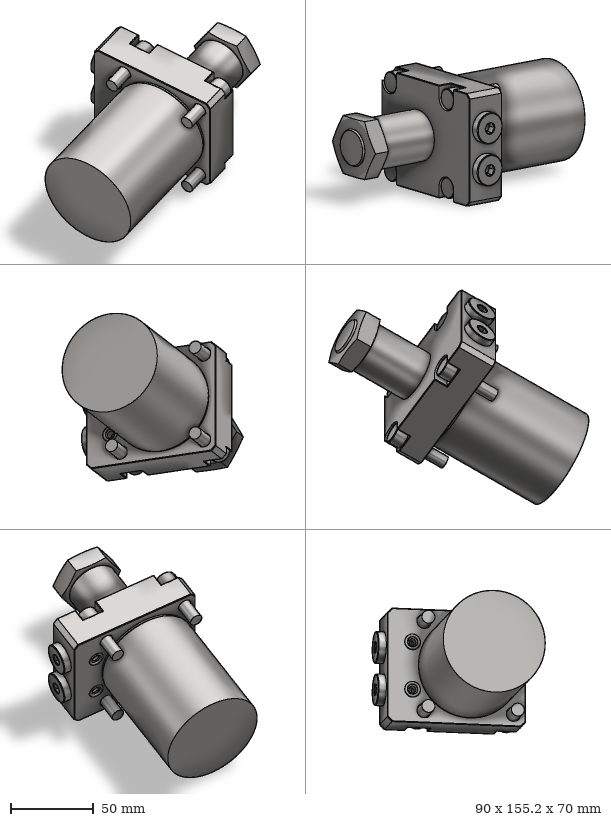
import cadquery as cq
import math


flange_left = 50.0
flange_right = 35.0
flange_height = 70.0
flange_thickness = 25.0
corner_chamfer = 3.0
rim_chamfer = 0.5

barrel_diameter = 62.7
barrel_length = 79.0
neck_diameter = 61.1
neck_length = 1.2

rod_diameter = 32.0
rod_length = 38.5
rod_chamfer = 0.8
hex_across_flats = 36.0
corner_turn = 30
hex_top = 50.0
hex_bevel_width = 3.1
hex_bevel_height = 0.8
tip_diameter = 23.0
tip_height = 1.2
tip_taper = 30

screw_offset = 27.5
shank_diameter = 7.9
shank_reach = 13.7
shank_hole_diameter = 8.7
head_diameter = 13.0
head_height = 8.0
head_chamfer = 0.5
slot_width = 13.7
slot_depth = 9.0
slot_chamfer = 0.5
slot_chamfer_angle = 45

plug_offset = 13.0
plug_y = 13.0
plug_head_diameter = 19.2
plug_head_height = 5.0
plug_chamfer = 0.5
plug_stem_diameter = 13.0
plug_stem_length = 12.0
plug_bore_depth = 18.6
socket_across_flats = 6.0
socket_depth = 5.0
socket_mouth_diameter = 7.1
drill_point_angle = 118

port_x = -34.5
port_offset = 14.6
port_diameter = 4.3
ring_section_diameter = 1.7
ring_mean_diameter = 7.9
ring_recess_depth = 1.2

screw_seat_y = flange_thickness - slot_depth
screw_centres = [(x, z) for x in (-screw_offset, screw_offset) for z in (-screw_offset, screw_offset)]
port_centres = [(port_x, z) for z in (-port_offset, port_offset)]
plug_heights = (-plug_offset, plug_offset)
corners_per_flats = 1 / math.cos(math.pi / 6)


def facing_y(y):
    """Workplane at height y whose local axes are Z and X and whose normal is +Y."""
    return cq.Workplane("ZX", origin=(0, y, 0))


def cylinder_y(diameter, start, end, x=0, z=0):
    return facing_y(start).center(z, x).circle(diameter / 2).extrude(end - start)


def make_flange():
    width = flange_left + flange_right
    return (
        facing_y(0)
        .center(0, (flange_right - flange_left) / 2)
        .rect(flange_height, width)
        .extrude(flange_thickness)
        .edges("|Y")
        .chamfer(corner_chamfer)
        .faces("<Y or >Y")
        .chamfer(rim_chamfer)
    )


def make_barrel():
    taper_end = neck_length + (barrel_diameter - neck_diameter) / 2
    profile = [
        (0, 0),
        (neck_diameter / 2, 0),
        (neck_diameter / 2, -neck_length),
        (barrel_diameter / 2, -taper_end),
        (barrel_diameter / 2, -barrel_length),
        (0, -barrel_length),
    ]
    return cq.Workplane("XY").polyline(profile).close().revolve(360, (0, 0), (0, 1))


def make_hex_head(bottom, top):
    """Hexagon with corners on X, its corners bevelled at both ends by a turned profile."""
    corner_diameter = hex_across_flats * corners_per_flats
    outer = corner_diameter / 2
    inner = outer - hex_bevel_width
    hexagon = facing_y(bottom).polygon(6, corner_diameter).extrude(top - bottom)
    hexagon = hexagon.rotate((0, 0, 0), (0, 1, 0), corner_turn)
    profile = [
        (0, bottom),
        (inner, bottom),
        (outer, bottom + hex_bevel_height),
        (outer, top - hex_bevel_height),
        (inner, top),
        (0, top),
    ]
    turned = cq.Workplane("XY").polyline(profile).close().revolve(360, (0, 0), (0, 1))
    return hexagon.intersect(turned)


def make_rod():
    rod_end = flange_thickness + rod_length
    head_end = flange_thickness + hex_top
    rod = cylinder_y(rod_diameter, flange_thickness, rod_end).faces(">Y").chamfer(rod_chamfer)
    tip = facing_y(head_end).circle(tip_diameter / 2).extrude(tip_height, taper=tip_taper)
    return rod.union(make_hex_head(rod_end, head_end)).union(tip)


def make_screw_cutter(x, z):
    """Clearance hole with a round counterbore that runs out through the nearer Z side.

    Beside the +X side the run-out also opens through that side, so no thin wall is left.
    """
    side_z = math.copysign(flange_height / 2, z)
    run_left = x - slot_width / 2
    run_right = x + slot_width / 2 if x < 0 else flange_right
    run_middle = (run_left + run_right) / 2
    run_width = run_right - run_left

    hole = cylinder_y(shank_hole_diameter, 0, flange_thickness, x, z)
    counterbore = cylinder_y(slot_width, screw_seat_y, flange_thickness, x, z)
    run_out = facing_y(screw_seat_y).center((z + side_z) / 2, run_middle).rect(abs(side_z - z), run_width)
    mouth = (
        cq.Workplane("XY", origin=(run_middle, screw_seat_y + slot_depth / 2, side_z))
        .rect(run_width + 2 * slot_chamfer, slot_depth + 2 * slot_chamfer)
        .extrude(math.copysign(slot_chamfer, -z), taper=slot_chamfer_angle)
    )
    return hole.union(counterbore).union(run_out.extrude(slot_depth)).union(mouth)


def make_port_cutter(x, z):
    recess_diameter = ring_mean_diameter + ring_section_diameter
    recess = cylinder_y(recess_diameter, 0, ring_recess_depth, x, z)
    return recess.union(cylinder_y(port_diameter, 0, plug_y, x, z))


def plug_plane(x, z):
    """Workplane on a plug axis whose normal is +X."""
    return cq.Workplane("YZ", origin=(x, plug_y, z))


def make_plug_shaft(z, length):
    """Cylinder reaching from the -X face into the flange, for a plug's stem or for its bore."""
    return plug_plane(-flange_left, z).circle(plug_stem_diameter / 2).extrude(length)


def make_housing():
    housing = make_flange().union(make_barrel()).union(make_rod())
    for x, z in screw_centres:
        housing = housing.cut(make_screw_cutter(x, z))
    for x, z in port_centres:
        housing = housing.cut(make_port_cutter(x, z))
    for z in plug_heights:
        housing = housing.cut(make_plug_shaft(z, plug_bore_depth))
    return housing


def make_screw(x, z):
    head_top = screw_seat_y + head_height
    head = cylinder_y(head_diameter, screw_seat_y, head_top, x, z).faces(">Y").chamfer(head_chamfer)
    shank = cylinder_y(shank_diameter, -shank_reach, screw_seat_y, x, z)
    return head.union(shank)


def make_plug_cone(x, z, radius, height):
    """Cone on a plug axis that narrows to a point toward +X."""
    return cq.Workplane(cq.Solid.makeCone(radius, 0, height, cq.Vector(x, plug_y, z), cq.Vector(1, 0, 0)))


def make_plug(z):
    """Collared plug with a hexagon socket that has a countersunk mouth and a drilled cone bottom."""
    face_x = -flange_left - plug_head_height
    head = plug_plane(face_x, z).circle(plug_head_diameter / 2).extrude(plug_head_height)
    head = head.faces("<X").chamfer(plug_chamfer)

    socket_corners = socket_across_flats * corners_per_flats
    socket = plug_plane(face_x, z).polygon(6, socket_corners).extrude(socket_depth)
    point_radius = socket_across_flats / 2
    point_height = point_radius / math.tan(math.radians(drill_point_angle / 2))
    point = make_plug_cone(face_x + socket_depth, z, point_radius, point_height)
    mouth_radius = socket_mouth_diameter / 2
    mouth = make_plug_cone(face_x, z, mouth_radius, mouth_radius)
    plug = head.union(make_plug_shaft(z, plug_stem_length))
    return plug.cut(socket).cut(point).cut(mouth)


def make_o_ring(x, z):
    section_radius = ring_section_diameter / 2
    centre = cq.Vector(x, ring_recess_depth - section_radius, z)
    axis = cq.Vector(0, 1, 0)
    return cq.Workplane(cq.Solid.makeTorus(ring_mean_diameter / 2, section_radius, centre, axis))


housing = make_housing()
screws = [make_screw(x, z) for x, z in screw_centres]
plugs = [make_plug(z) for z in plug_heights]
o_rings = [make_o_ring(x, z) for x, z in port_centres]

result = cq.Compound.makeCompound([body.val() for body in [housing, *screws, *plugs, *o_rings]])